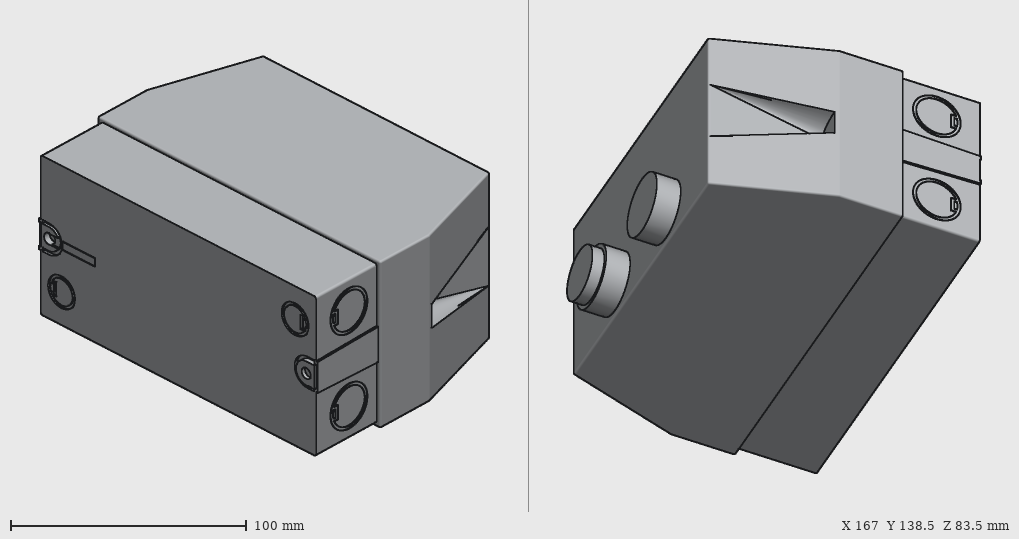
import cadquery as cq


lid_length = 167.0
lid_height = 83.5
lid_back_length = 133.6
lid_front_y = 36.9
shoulder_y = 67.0
lid_back_y = 120.7
lid_fillet = 1.0

base_length = 162.7
base_height = 79.8
base_fillet = 1.2

pad_span = 164.7
pad_front_width = 15.5
pad_lid_width = 17.7

hollow_front_y = 69.0
hollow_back_y = lid_back_y - lid_fillet
hollow_front_half = 6.0
hollow_back_half = 14.7
hollow_depth = 12.4

button_x = 25.0
button_z = -24.2
button_radius = 14.7
button_back_y = 132.0
cap_radius = 12.7
cap_back_y = 137.5

lug_x = 76.5
lug_inner_radius = 6.0
lug_outer_radius = 7.8
lug_groove_end_x = base_length / 2 - base_fillet
lug_groove_depth = 1.5
boss_rise = 1.0
screw_hole_radius = 2.7
screw_hole_depth = 2.0
keyhole_radius = 2.8
keyhole_depth = 3.3
key_slot_width = 5.3
key_slot_depth = 1.0
guide_slot_width = 4.2
guide_slot_end_x = -49.5
guide_slot_depth = 0.3
pad_step_depth = 0.5

front_knockout_x = 69.0
front_knockout_z = 23.4
front_knockout_radius = 8.0
front_knockout_depth = 1.0
side_knockout_y = 20.2
side_knockout_z = 23.9
side_knockout_radius = 11.2
side_knockout_depth = 0.3
ring_width = 1.5
notch_width = 7.2
island_width = 4.2
front_notch_start = 3.2
side_notch_start = 6.7
notch_gap = 1.5


def front_plane(y):
    """Sketch plane at height y: local x is X, local y is Z, extrusion goes toward -Y."""
    return cq.Workplane("XZ", origin=(0, y, 0))


def make_lid():
    outline = [
        (-lid_length / 2, lid_front_y),
        (lid_length / 2, lid_front_y),
        (lid_length / 2, shoulder_y),
        (lid_back_length / 2, lid_back_y),
        (-lid_back_length / 2, lid_back_y),
        (-lid_length / 2, shoulder_y),
    ]
    lid = cq.Workplane("XY").polyline(outline).close().extrude(lid_height / 2, both=True)
    return lid.edges().fillet(lid_fillet)


def make_base():
    base = front_plane(lid_front_y).rect(base_length, base_height).extrude(lid_front_y)
    base = base.edges("|Y").fillet(base_fillet)
    pad_outline = [
        (0, -pad_front_width / 2),
        (lid_front_y, -pad_lid_width / 2),
        (lid_front_y, pad_lid_width / 2),
        (0, pad_front_width / 2),
    ]
    pads = cq.Workplane("YZ").polyline(pad_outline).close().extrude(pad_span / 2, both=True)
    return base.union(pads)


def make_button(x):
    button = front_plane(button_back_y).center(x, button_z).circle(button_radius)
    return button.extrude(button_back_y - lid_back_y)


def make_cap(x):
    cap = front_plane(cap_back_y).center(x, button_z).circle(cap_radius)
    return cap.extrude(cap_back_y - button_back_y)


def polygon_face(points):
    return cq.Face.makeFromWires(cq.Wire.makePolygon(points, close=True))


def make_hollow():
    """Hollow of the +X end: a half ellipse at the front fading to a straight line at the back."""
    slope = (lid_length - lid_back_length) / 2 / (lid_back_y - shoulder_y)
    front_x = lid_length / 2 - slope * (hollow_front_y - shoulder_y)
    back_x = lid_length / 2 - slope * (hollow_back_y - shoulder_y)
    mouth = cq.Vector(front_x, hollow_front_y, 0)
    apex = cq.Vector(front_x - hollow_depth, hollow_front_y, 0)
    back_top = cq.Vector(back_x, hollow_back_y, hollow_back_half)
    back_bottom = cq.Vector(back_x, hollow_back_y, -hollow_back_half)

    corners = [mouth, apex, back_top, back_bottom]
    sides = [polygon_face(corners[:i] + corners[i + 1:]) for i in range(len(corners))]
    floor = cq.Solid.makeSolid(cq.Shell.makeShell(sides))

    quarter_ellipse = (
        front_plane(hollow_front_y)
        .moveTo(front_x, 0)
        .lineTo(front_x, hollow_front_half)
        .ellipseArc(hollow_depth, hollow_front_half, 90, 180)
        .close()
    )
    section = cq.Face.makeFromWires(quarter_ellipse.val())
    flank_tip = cq.Vertex.makeVertex(*back_top.toTuple())
    flank = cq.Workplane(cq.occ_impl.shapes.loft(section, flank_tip, ruled=True))
    return cq.Workplane(floor).union(flank).union(flank.mirror("XY"))


def make_knockout(radius, depth, notch_start):
    """Groove sunk below the XY plane around the origin, with its pry notch on the +X side."""
    inner_radius = radius - ring_width
    disc = cq.Workplane("XY").circle(inner_radius).extrude(-depth)
    ring = cq.Workplane("XY").circle(radius).extrude(-depth).cut(disc)
    notch_length = radius - notch_start
    notch = cq.Workplane("XY").box(notch_length, notch_width, depth, centered=(False, True, False))
    notch = notch.translate((notch_start, 0, -depth))
    island = cq.Workplane("XY").box(notch_length, island_width, depth, centered=(False, True, False))
    island = island.translate((notch_start + notch_gap, 0, -depth))
    return ring.union(notch.cut(island).intersect(disc))


def make_front_knockout():
    """Groove in the front face at +X, +Z."""
    groove = make_knockout(front_knockout_radius, front_knockout_depth, front_notch_start)
    return groove.rotate((0, 0, 0), (1, 0, 0), 90).translate((front_knockout_x, 0, front_knockout_z))


def make_side_knockout():
    """Groove in the +X end of the base, above the pad, with its notch toward the front."""
    groove = make_knockout(side_knockout_radius, side_knockout_depth, side_notch_start)
    groove = groove.rotate((0, 0, 0), (0, 0, 1), -90).rotate((0, 0, 0), (0, 1, 0), 90)
    return groove.translate((base_length / 2, side_knockout_y, side_knockout_z))


def lug_block(radius, end_x, y, depth):
    """Tongue at +X: round toward the middle, square at end_x, running from height y toward -Y."""
    round_end = front_plane(y).center(lug_x, 0).circle(radius).extrude(depth)
    square_end = front_plane(y).center((lug_x + end_x) / 2, 0).rect(end_x - lug_x, 2 * radius)
    envelope = front_plane(y).rect(2 * end_x, 2 * radius).extrude(depth)
    return round_end.union(square_end.extrude(depth)).intersect(envelope)


def make_lug_groove():
    """Groove around the lug at +X."""
    outer = lug_block(lug_outer_radius, lug_groove_end_x, lug_groove_depth, lug_groove_depth)
    inner = lug_block(lug_inner_radius, base_length / 2, lug_groove_depth, lug_groove_depth)
    return outer.cut(inner)


def lug_hole(x, radius, floor_y, depth):
    """Blind round hole running from floor_y toward -Y."""
    return front_plane(floor_y).center(x, 0).circle(radius).extrude(depth)


def front_slot(start_x, end_x, width, depth):
    """Straight slot sunk into the front face along X."""
    slot = front_plane(depth).center((start_x + end_x) / 2, 0).rect(end_x - start_x, width)
    return slot.extrude(depth)


hollow = make_hollow()
result = make_lid().cut(hollow).cut(hollow.mirror("YZ")).union(make_base())

for x in (-button_x, button_x):
    result = result.union(make_button(x))
result = result.union(make_cap(button_x))

front_knockout = make_front_knockout()
result = result.cut(front_knockout)
result = result.cut(front_knockout.rotate((0, 0, 0), (0, 1, 0), 180))

side_knockout = make_side_knockout()
for knockout in (side_knockout, side_knockout.mirror("XY")):
    result = result.cut(knockout).cut(knockout.mirror("YZ"))

boss = lug_block(lug_inner_radius, base_length / 2, 0, boss_rise)
lug_groove = make_lug_groove()
result = result.cut(lug_groove).union(boss)
result = result.cut(lug_hole(lug_x, screw_hole_radius, screw_hole_depth - boss_rise, screw_hole_depth))

result = result.cut(lug_groove.mirror("YZ"))
result = result.cut(lug_hole(-lug_x, keyhole_radius, keyhole_depth, keyhole_depth))
result = result.cut(front_slot(-lug_x, lug_inner_radius - lug_x, key_slot_width, key_slot_depth))
result = result.cut(front_slot(-pad_span / 2, -base_length / 2, 2 * lug_inner_radius, pad_step_depth))
guide_slot_start_x = lug_outer_radius - lug_x
result = result.cut(front_slot(guide_slot_start_x, guide_slot_end_x, guide_slot_width, guide_slot_depth))